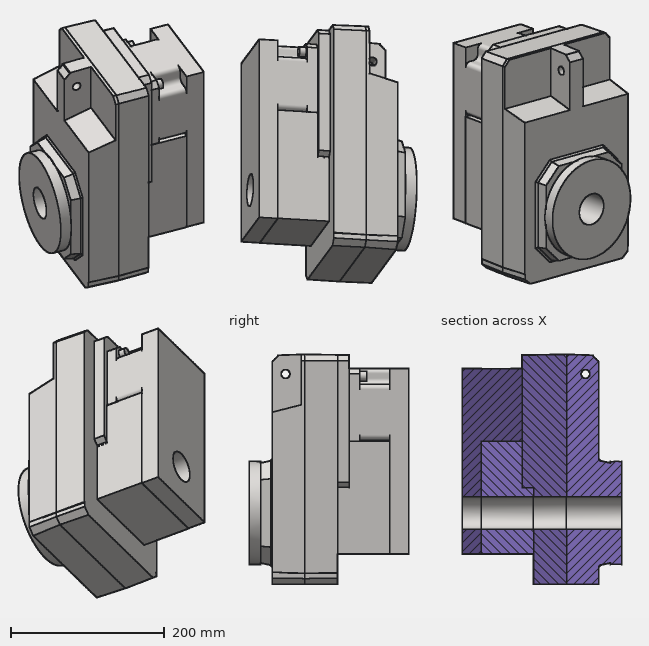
import cadquery as cq
import math


HOUSING_WIDTH = 181.3
HOUSING_HEIGHT = 299.7
PARTING_Y = 42.3
HOUSING_BACK_Y = 85.0
FRONT_DRAFT = 2.0
REAR_DRAFT = 1.0
TOP_CHAMFER_X = 7.8
TOP_CHAMFER_Z = 8.5
FOOT_INSET = 0.5
FOOT_HEIGHT = 14.5
FOOT_CHAMFER_X = 8.7
FOOT_CHAMFER_Z = 7.5
FOOT_OVERRUN = 3.0

LUG_WIDTH = 22.5
LUG_CHAMFER = 8.5
LUG_HOLE_DIAMETER = 11.0
LUG_HOLE_Y = 17.5
LUG_HOLE_Z = 274.0
RECESS_BACK_Y = 37.8
RECESS_BACK_Z = 233.8
RECESS_FRONT_Z = 224.2

AXIS_Z = 93.0
BORE_DIAMETER = 42.0
BOSS_WIDTH = 141.5
BOSS_CORNER = 25.2
BOSS_DEPTH = 15.0
BOSS_LIP = 2.0
BOSS_LIP_INSET = 2.7
BOSS_FRONT_INSET = 5.5
FLANGE_DIAMETER = 135.0
FLANGE_THICKNESS = 15.0

PAD_WIDTH = 131.3
PAD_THICKNESS = 15.0
PAD_BOTTOM_Z = 125.3
PAD_TOP_Z = 298.8
PAD_CHAMFER_X = 8.7
PAD_CHAMFER_Z = 7.5
PAD_BACK_Y = HOUSING_BACK_Y + PAD_THICKNESS

MOTOR_WIDTH = 116.0
MOTOR_TOP_Z = 281.2
MOTOR_BOTTOM_Z = 39.3
MOTOR_BACK_Y = 178.0
BLOCK_CHAMFER_X = 8.5
BLOCK_CHAMFER_Z = 7.2
POCKET_FRONT_Y = 114.2
POCKET_BACK_Y = 153.2
POCKET_DEPTH = 20.7
POCKET_MIRROR_Z = 224.2
POCKET_EDGE_RADIUS = 6.3
POCKET_ROOT_RADIUS = 7.8

COVER_WIDTH = 117.2
COVER_TOP_Z = 186.0

BOLT_X = 46.0
BOLT_Z = 271.0
BOLT_HEAD_DIAMETER = 13.0
BOLT_HEAD_HEIGHT = 8.7
BOLT_SHANK_DIAMETER = 6.5


def block_between(width, y_front, y_back, z_bottom, z_top):
    """A plain box centred on X = 0."""
    box = cq.Workplane("XY").box(width, y_back - y_front, z_top - z_bottom, centered=(True, False, False))
    return box.translate((0, y_front, z_bottom))


def corner_wedges(width, chamfer_x, chamfer_z, corner_z, y_front, y_back):
    """The two wedges that chamfer a box's edges along Y at the height corner_z."""
    half = width / 2
    right = [(half - chamfer_x, corner_z), (half, corner_z - chamfer_z), (half, corner_z + chamfer_z)]
    wedge = cq.Workplane("XZ", origin=(0, y_front, 0)).polyline(right).close().extrude(y_front - y_back)
    return wedge.union(wedge.mirror("YZ"))


def mirrored_outline(plane, y, right_side):
    """A closed outline at the given Y from its +X side, listed from the bottom up."""
    left_side = [(-x, z) for x, z in reversed(right_side)]
    points = right_side + left_side
    if plane == "ZX":
        points = [(z, x) for x, z in points]
    return cq.Workplane(plane, origin=(0, y, 0)).polyline(points).close()


def along_y(diameter, x, z, y_front, y_back):
    """A cylinder parallel to Y."""
    return cq.Workplane("XZ", origin=(x, y_front, z)).circle(diameter / 2).extrude(y_front - y_back)


def cut_bolts(body, bolts):
    """The body with holes that match the bolts."""
    for bolt in bolts:
        body = body.cut(bolt)
    return body


def make_bore():
    return along_y(BORE_DIAMETER, 0, AXIS_Z, -BOSS_DEPTH - FLANGE_THICKNESS, MOTOR_BACK_Y)



def housing_outline(plane):
    """The housing outline at the parting line, carried below the underside to be cut flat later."""
    half = HOUSING_WIDTH / 2
    foot_half = half - FOOT_INSET
    chamfer_run = FOOT_CHAMFER_X * (1 + FOOT_OVERRUN / FOOT_CHAMFER_Z)
    right_side = [
        (foot_half - chamfer_run, -FOOT_OVERRUN),
        (foot_half, FOOT_CHAMFER_Z),
        (foot_half, FOOT_HEIGHT),
        (half, FOOT_HEIGHT),
        (half, HOUSING_HEIGHT - TOP_CHAMFER_Z),
        (half - TOP_CHAMFER_X, HOUSING_HEIGHT),
    ]
    return mirrored_outline(plane, PARTING_Y, right_side)


def make_foot_overrun():
    return block_between(HOUSING_WIDTH, 0, HOUSING_BACK_Y, -FOOT_OVERRUN, 0)



def make_lug_recesses():
    """The two recesses with sloping floors that leave the lug between them."""
    profile = [
        (0, RECESS_FRONT_Z),
        (RECESS_BACK_Y, RECESS_BACK_Z),
        (RECESS_BACK_Y, HOUSING_HEIGHT),
        (0, HOUSING_HEIGHT),
    ]
    recess = cq.Workplane("YZ").polyline(profile).close().extrude(HOUSING_WIDTH / 2, both=True)
    lug = block_between(LUG_WIDTH, 0, RECESS_BACK_Y, RECESS_FRONT_Z, HOUSING_HEIGHT)
    return recess.cut(lug)


def make_lug_cuts():
    """The lug's chamfered front corner and its cross hole."""
    lug_top_z = HOUSING_HEIGHT - PARTING_Y * math.tan(math.radians(FRONT_DRAFT))
    corner = [(0, lug_top_z - LUG_CHAMFER), (LUG_CHAMFER, lug_top_z), (0, HOUSING_HEIGHT)]
    chamfer = cq.Workplane("YZ").polyline(corner).close().extrude(LUG_WIDTH / 2, both=True)
    hole_centre = cq.Workplane("YZ").center(LUG_HOLE_Y, LUG_HOLE_Z)
    hole = hole_centre.circle(LUG_HOLE_DIAMETER / 2).extrude(LUG_WIDTH / 2, both=True)
    return chamfer.union(hole)


def octagon_points(inset):
    """The boss octagon with every side moved inwards by the inset."""
    half = BOSS_WIDTH / 2 - inset
    flat_half = BOSS_WIDTH / 2 - BOSS_CORNER - inset * math.tan(math.pi / 8)
    return [
        (flat_half, -half), (half, -flat_half), (half, flat_half), (flat_half, half),
        (-flat_half, half), (-half, flat_half), (-half, -flat_half), (-flat_half, -half),
    ]


def octagon_frustum(y_back, inset_back, y_front, inset_front):
    back = cq.Workplane("XZ", origin=(0, y_back, AXIS_Z)).polyline(octagon_points(inset_back)).close()
    front = back.workplane(offset=y_back - y_front).polyline(octagon_points(inset_front)).close()
    return front.loft(ruled=True)


def make_boss():
    """The tapered octagonal boss with its wider lip at the housing face."""
    lip = octagon_frustum(0, 0, -BOSS_LIP, BOSS_LIP_INSET)
    body = octagon_frustum(-BOSS_LIP, BOSS_LIP_INSET, -BOSS_DEPTH, BOSS_FRONT_INSET)
    return lip.union(body)


def make_flange():
    return along_y(FLANGE_DIAMETER, 0, AXIS_Z, -BOSS_DEPTH - FLANGE_THICKNESS, -BOSS_DEPTH)


def make_front_housing():
    shell = housing_outline("XZ").extrude(PARTING_Y, taper=FRONT_DRAFT).cut(make_foot_overrun())
    shell = shell.cut(make_lug_recesses()).cut(make_lug_cuts())
    return shell.union(make_boss()).union(make_flange()).cut(make_bore())



def make_pad():
    pad = block_between(PAD_WIDTH, HOUSING_BACK_Y, PAD_BACK_Y, PAD_BOTTOM_Z, PAD_TOP_Z)
    for corner_z in (PAD_BOTTOM_Z, PAD_TOP_Z):
        wedges = corner_wedges(
            PAD_WIDTH, PAD_CHAMFER_X, PAD_CHAMFER_Z, corner_z, HOUSING_BACK_Y, PAD_BACK_Y
        )
        pad = pad.cut(wedges)
    return pad


def make_rear_housing(bolts):
    shell = housing_outline("ZX").extrude(HOUSING_BACK_Y - PARTING_Y, taper=REAR_DRAFT)
    shell = shell.cut(make_foot_overrun())
    return cut_bolts(shell.union(make_pad()).cut(make_bore()), bolts)



def make_bolt(x, z):
    head = along_y(BOLT_HEAD_DIAMETER, x, z, POCKET_FRONT_Y, POCKET_FRONT_Y + BOLT_HEAD_HEIGHT)
    shank = along_y(BOLT_SHANK_DIAMETER, x, z, HOUSING_BACK_Y, POCKET_FRONT_Y)
    return head.union(shank)



def make_corner_pocket():
    """The pocket at the block's +X, top corner, with rounded edges and a rounded root."""
    side_x = MOTOR_WIDTH / 2
    wall_x = side_x - POCKET_DEPTH
    floor_z = MOTOR_TOP_Z - POCKET_DEPTH
    edge = POCKET_EDGE_RADIUS
    root = POCKET_ROOT_RADIUS
    outline = (
        cq.Workplane("XZ", origin=(0, POCKET_FRONT_Y, 0))
        .moveTo(side_x, MOTOR_TOP_Z)
        .lineTo(wall_x - edge, MOTOR_TOP_Z)
        .radiusArc((wall_x, MOTOR_TOP_Z - edge), edge)
        .lineTo(wall_x, floor_z + root)
        .radiusArc((wall_x + root, floor_z), -root)
        .lineTo(side_x - edge, floor_z)
        .radiusArc((side_x, floor_z - edge), edge)
        .close()
    )
    return outline.extrude(POCKET_FRONT_Y - POCKET_BACK_Y)


def make_motor(bolts):
    block = block_between(MOTOR_WIDTH, PAD_BACK_Y, POCKET_BACK_Y, COVER_TOP_Z, MOTOR_TOP_Z)
    pocket = make_corner_pocket()
    upper_pockets = pocket.union(pocket.mirror("YZ"))
    lower_pockets = upper_pockets.mirror("XY", (0, 0, POCKET_MIRROR_Z))
    nose_wedges = corner_wedges(
        MOTOR_WIDTH, BLOCK_CHAMFER_X, BLOCK_CHAMFER_Z, MOTOR_TOP_Z, PAD_BACK_Y, POCKET_FRONT_Y
    )
    block = block.cut(upper_pockets).cut(lower_pockets).cut(nose_wedges)
    back_plate = block_between(MOTOR_WIDTH, POCKET_BACK_Y, MOTOR_BACK_Y, MOTOR_BOTTOM_Z, MOTOR_TOP_Z)
    return cut_bolts(block.union(back_plate).cut(make_bore()), bolts)



def make_lower_cover(rear_housing):
    """A block around the bore, stepped to clear the mounting pad."""
    cover = block_between(COVER_WIDTH, HOUSING_BACK_Y, POCKET_BACK_Y, MOTOR_BOTTOM_Z, COVER_TOP_Z)
    return cover.cut(rear_housing).cut(make_bore())


motor_bolts = [make_bolt(side * BOLT_X, BOLT_Z) for side in (-1, 1)]
front_housing = make_front_housing()
rear_housing = make_rear_housing(motor_bolts)
motor = make_motor(motor_bolts)
lower_cover = make_lower_cover(rear_housing)

bodies = [front_housing, rear_housing, motor, lower_cover, *motor_bolts]
result = cq.Compound.makeCompound([body.solids().val() for body in bodies])